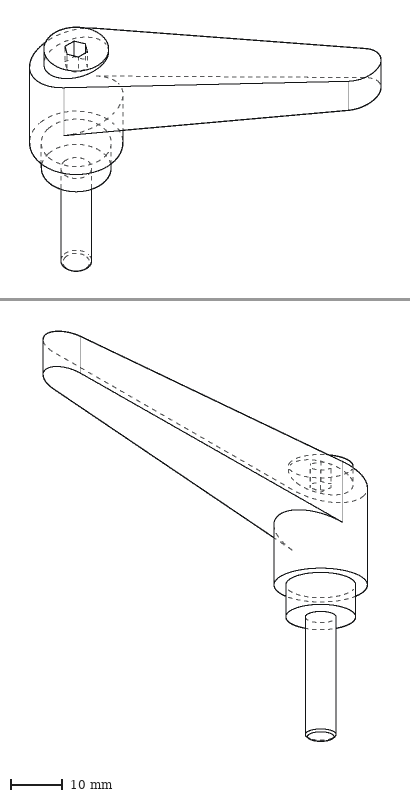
import cadquery as cq
import math

hub_radius = 9.0
tip_radius = 5.0
overall_length = 71.0
tip_center_x = overall_length - hub_radius - tip_radius
tip_end_x = tip_center_x + tip_radius
tip_top_z = 39.3
tip_end_thickness = 7.25
cutter_margin = 3.55
blank_height = tip_top_z
top_angle = 15.4
underside_angle = 19.9

collar_radius = 6.75
collar_height = 6.6
stud_radius = 3.0
stud_bottom_z = -31.3
stud_chamfer = 0.4

button_radius = 6.25
button_top_z = 24.55
socket_across_flats = 4.0
socket_depth = 4.0
socket_cone_angle = 118.0


def height_on_slope(x, tip_z, angle):
    """Height at x of a plane that rises to tip_z at the lever's tip."""
    return tip_z - (tip_end_x - x) * math.tan(math.radians(angle))


def make_arm_blank():
    """Upright prism tapering along the common tangents of the hub and tip circles."""
    tangent_sine = (hub_radius - tip_radius) / tip_center_x
    tangent_cosine = math.sqrt(1 - tangent_sine**2)
    hub_x = hub_radius * tangent_sine
    hub_y = hub_radius * tangent_cosine
    tip_x = tip_center_x + tip_radius * tangent_sine
    tip_y = tip_radius * tangent_cosine
    return (
        cq.Workplane("XY")
        .moveTo(hub_x, -hub_y)
        .lineTo(tip_x, -tip_y)
        .threePointArc((tip_end_x, 0), (tip_x, tip_y))
        .lineTo(hub_x, hub_y)
        .close()
        .extrude(blank_height)
    )


def make_side_cutter(outer_z, tip_z, angle):
    """Everything between a sloping plane and the level outer_z, wider than the lever."""
    start_x = -hub_radius - cutter_margin
    end_x = tip_end_x + cutter_margin
    return (
        cq.Workplane("XZ")
        .moveTo(start_x, outer_z)
        .lineTo(end_x, outer_z)
        .lineTo(end_x, height_on_slope(end_x, tip_z, angle))
        .lineTo(start_x, height_on_slope(start_x, tip_z, angle))
        .close()
        .extrude(hub_radius + cutter_margin, both=True)
    )


def make_lever():
    above_top = make_side_cutter(blank_height + cutter_margin, tip_top_z, top_angle)
    below_arm = make_side_cutter(-cutter_margin, tip_top_z - tip_end_thickness, underside_angle)
    hub = cq.Workplane("XY").circle(hub_radius).extrude(blank_height)
    arm = make_arm_blank().cut(below_arm)
    return hub.union(arm).cut(above_top)


def make_stud():
    collar = cq.Workplane("XY").circle(collar_radius).extrude(-collar_height)
    stud = (
        cq.Workplane("XY")
        .circle(stud_radius)
        .extrude(stud_bottom_z)
        .faces("<Z")
        .chamfer(stud_chamfer)
    )
    return collar.union(stud)


def make_socket():
    """Hexagonal hole, corners along X, with a conical floor that meets the corners."""
    across_corners = socket_across_flats / math.cos(math.radians(30))
    corner_radius = across_corners / 2
    cone_depth = corner_radius / math.tan(math.radians(socket_cone_angle / 2))
    cone_start_z = button_top_z - socket_depth
    tip_z = cone_start_z - cone_depth
    hexagon = (
        cq.Workplane("XY", origin=(0, 0, tip_z))
        .polygon(6, across_corners)
        .extrude(button_top_z - tip_z)
    )
    pointed_bore = (
        cq.Workplane("XZ")
        .moveTo(0, tip_z)
        .lineTo(corner_radius, cone_start_z)
        .lineTo(corner_radius, button_top_z)
        .lineTo(0, button_top_z)
        .close()
        .revolve(360, (0, 0), (0, 1))
    )
    return hexagon.intersect(pointed_bore)


button = cq.Workplane("XY").circle(button_radius).extrude(button_top_z)
result = make_lever().union(make_stud()).union(button).cut(make_socket())